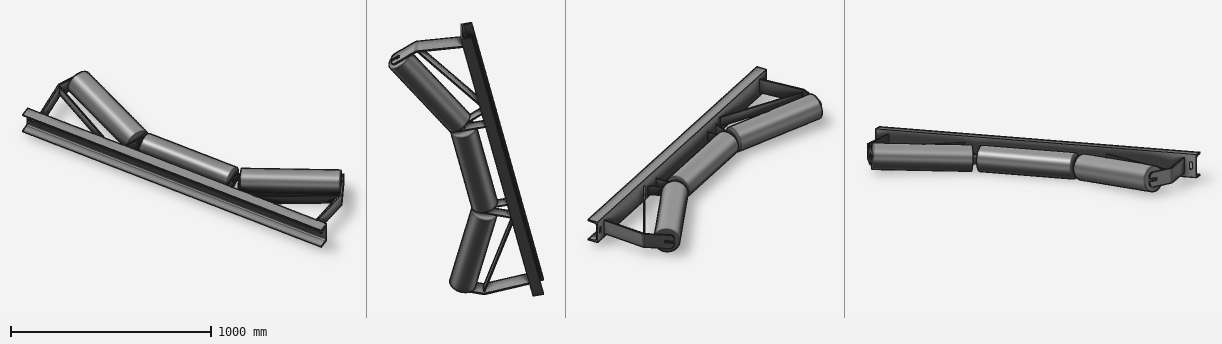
import cadquery as cq
import math


beam_length = 1700.0
beam_height = 119.0
flange_width = 55.0
web_thickness = 7.0
flange_thickness = 9.0
flange_slope = 0.08
root_radius = 9.0
toe_radius = 4.5
slot_inset = 29.0
slot_width = 14.0
slot_height = 37.0

roller_diameter = 133.0
roller_length = 500.0
roller_rounding = 3.0
axle_diameter = 20.0
axle_flat_thickness = 14.0
roller_gap = 5.0
middle_axis_y = 117.0
middle_axis_z = -20.0
wing_angle = 25.0
wing_outer_x = 746.0
wing_outer_y = 338.0
wing_outer_z = 0.0

outer_thickness = 8.0
outer_width = 76.0
outer_foot_x = 787.0
outer_bend_y = 240.0
outer_tip_reach = 39.0
outer_corner_radius = 24.0
outer_bend_radius = 14.0

inner_thickness = 6.0
inner_top_y = 148.0
inner_top_z = 5.0
inner_bottom_z = -45.0
inner_bend_radius = 3.0

brace_thickness = 6.0
brace_height = 51.0
brace_foot_x = 380.0
brace_head_x = 797.0
brace_head_y = 238.0
brace_overlength = 1.2

along = (math.cos(math.radians(wing_angle)), math.sin(math.radians(wing_angle)))
across = (-along[1], along[0])
wing_run = math.sqrt(roller_length**2 - (wing_outer_z - middle_axis_z) ** 2)
wing_inner_x = wing_outer_x - wing_run * along[0]
wing_inner_y = wing_outer_y - wing_run * along[1]


def mirrored(body):
    return body.mirror("YZ")


def prism(points, bottom_z, top_z):
    return cq.Workplane("XY").workplane(offset=bottom_z).polyline(points).close().extrude(top_z - bottom_z)


def wing_point(base, forward, sideways):
    """Point reached from base by going along and across the right-hand wing."""
    return (
        base[0] + forward * along[0] + sideways * across[0],
        base[1] + forward * along[1] + sideways * across[1],
    )


def at_height(base, y):
    """Point at height y on the line through base that crosses the wing at right angles."""
    return wing_point(base, 0, (y - base[1]) / across[1])


def round_bend(sheet, corner, radius):
    """Round the upright edge of a sheet that stands at the given XY corner."""
    x, y = corner
    reach = 0.8
    at_corner = cq.selectors.BoxSelector(
        (x - reach, y - reach, -beam_height),
        (x + reach, y + reach, beam_height),
    )
    return sheet.edges("|Z").edges(at_corner).fillet(radius)


def make_beam():
    half_height = beam_height / 2
    half_rise = flange_slope * flange_width / 2
    tip_z = half_height - flange_thickness + half_rise
    root_z = tip_z - flange_slope * (flange_width - web_thickness)
    upper = [
        (0, half_height),
        (-flange_width, half_height),
        (-flange_width, tip_z),
        (-web_thickness, root_z),
    ]
    lower = [(y, -z) for y, z in reversed(upper)]
    beam = (
        cq.Workplane("YZ").polyline(upper + lower).close()
        .extrude(beam_length / 2, both=True)
    )
    margin = 2.0
    for radius, y, z in ((root_radius, -web_thickness, root_z), (toe_radius, -flange_width, tip_z)):
        for side in (1, -1):
            corner = cq.selectors.BoxSelector(
                (-margin, y - margin, side * z - margin),
                (margin, y + margin, side * z + margin),
            )
            beam = beam.edges(corner).fillet(radius)
    slots = (
        cq.Workplane("XZ")
        .pushPoints([(side * (beam_length / 2 - slot_inset), 0) for side in (1, -1)])
        .slot2D(slot_height, slot_width, 90)
        .extrude(web_thickness)
    )
    return beam.cut(slots)


def make_roller():
    """Plain roller shell along X, centred on the origin, with rounded end rims."""
    return (
        cq.Workplane("YZ").workplane(offset=-roller_length / 2)
        .circle(roller_diameter / 2).extrude(roller_length)
        .edges().fillet(roller_rounding)
    )


def make_axle(left_reach, right_reach):
    """Axle along X with flats facing up and down, reaching beyond both roller ends."""
    length = roller_length + left_reach + right_reach
    axle = (
        cq.Workplane("YZ").workplane(offset=-roller_length / 2 - left_reach)
        .circle(axle_diameter / 2).extrude(length)
    )
    flats = cq.Workplane("XY").box(2 * length, axle_diameter, axle_flat_thickness)
    return axle.intersect(flats)


def place_on_wing(body):
    """Move a body from the X axis to the right-hand outer roller position."""
    tilt = math.degrees(math.asin((wing_outer_z - middle_axis_z) / roller_length))
    middle = (
        (wing_outer_x + wing_inner_x) / 2,
        (wing_outer_y + wing_inner_y) / 2,
        (wing_outer_z + middle_axis_z) / 2,
    )
    return (
        body.rotate((0, 0, 0), (0, 1, 0), -tilt)
        .rotate((0, 0, 0), (0, 0, 1), wing_angle)
        .translate(middle)
    )


inner_reach = roller_gap + inner_thickness
outer_reach = roller_gap + outer_thickness
wing_axle = place_on_wing(make_axle(inner_reach, outer_reach))
wing_roller = place_on_wing(make_roller()).union(wing_axle)
middle_axle = make_axle(inner_reach, inner_reach).translate((0, middle_axis_y, middle_axis_z))
middle_roller = make_roller().translate((0, middle_axis_y, middle_axis_z)).union(middle_axle)

outer_end = (wing_outer_x, wing_outer_y)
near_base = wing_point(outer_end, roller_gap, 0)
far_base = wing_point(outer_end, outer_reach, 0)
near_bend = at_height(near_base, outer_bend_y)
far_bend = at_height(far_base, outer_bend_y)
near_foot = (outer_foot_x - outer_thickness, 0)
far_foot = (outer_foot_x, 0)


def make_outer_bracket():
    """Bent strip from the beam to the outer roller end, with a rounded tip slotted for the axle."""
    half_width = outer_width / 2
    outline = [
        near_foot,
        near_bend,
        wing_point(near_base, 0, outer_tip_reach),
        wing_point(far_base, 0, outer_tip_reach),
        far_bend,
        far_foot,
    ]
    bracket = prism(outline, -half_width, half_width)
    bracket = round_bend(bracket, near_bend, outer_bend_radius)
    bracket = round_bend(bracket, far_bend, outer_bend_radius + outer_thickness)
    leg_plane = cq.Plane(
        origin=(wing_outer_x, wing_outer_y, 0),
        xDir=(across[0], across[1], 0),
        normal=(along[0], along[1], 0),
    )
    through_leg = cq.selectors.ParallelDirSelector(cq.Vector(along[0], along[1], 0))
    tip_x, tip_y = wing_point(near_base, outer_thickness / 2, outer_tip_reach)
    for side in (1, -1):
        tip_corner = cq.selectors.NearestToPointSelector((tip_x, tip_y, side * half_width))
        bracket = bracket.edges(through_leg).edges(tip_corner).fillet(outer_corner_radius)
    slot = (
        cq.Workplane(leg_plane)
        .center(outer_tip_reach / 2, wing_outer_z)
        .rect(outer_tip_reach, axle_flat_thickness)
        .extrude(outer_reach * 2)
    )
    return bracket.cut(slot).cut(wing_axle)


def make_inner_bracket():
    """Folded strip: a straight leg beside the middle roller, a top, a leg square to the outer roller."""
    near_x = roller_length / 2 + roller_gap
    near_wing = wing_point((wing_inner_x, wing_inner_y), -roller_gap, 0)
    far_wing = wing_point((wing_inner_x, wing_inner_y), -roller_gap - inner_thickness, 0)
    under_top_y = inner_top_y - inner_thickness
    middle_corner = (near_x, inner_top_y)
    wing_corner = at_height(near_wing, inner_top_y)
    wing_inside_corner = at_height(far_wing, under_top_y)
    middle_inside_corner = (near_x + inner_thickness, under_top_y)
    outline = [
        (near_x, 0),
        middle_corner,
        wing_corner,
        at_height(near_wing, 0),
        at_height(far_wing, 0),
        wing_inside_corner,
        middle_inside_corner,
        (near_x + inner_thickness, 0),
    ]
    bracket = prism(outline, inner_bottom_z, inner_top_z)
    for corner in (middle_corner, wing_corner):
        bracket = round_bend(bracket, corner, inner_bend_radius + inner_thickness)
    for corner in (middle_inside_corner, wing_inside_corner):
        bracket = round_bend(bracket, corner, inner_bend_radius)
    return bracket.cut(wing_axle).cut(middle_axle)


def make_brace():
    """Flat strut from the beam to the inside of the outer bracket just below its bend."""
    run = brace_head_x - brace_foot_x
    length = math.hypot(run, brace_head_y)
    strut = (
        cq.Workplane("XY").box(length * brace_overlength, brace_thickness, brace_height)
        .rotate((0, 0, 0), (0, 0, 1), math.degrees(math.atan2(brace_head_y, run)))
        .translate(((brace_foot_x + brace_head_x) / 2, brace_head_y / 2, 0))
    )
    inside = prism([(0, 0), near_foot, near_bend, (0, near_bend[1])], -outer_width, outer_width)
    return strut.intersect(inside)


beam = make_beam()
outer_bracket = make_outer_bracket()
inner_bracket = make_inner_bracket()
brace = make_brace()
bodies = [beam.val(), middle_roller.val()]
for body in (wing_roller, outer_bracket, inner_bracket, brace):
    bodies += [body.val(), mirrored(body).val()]
result = cq.Compound.makeCompound(bodies)